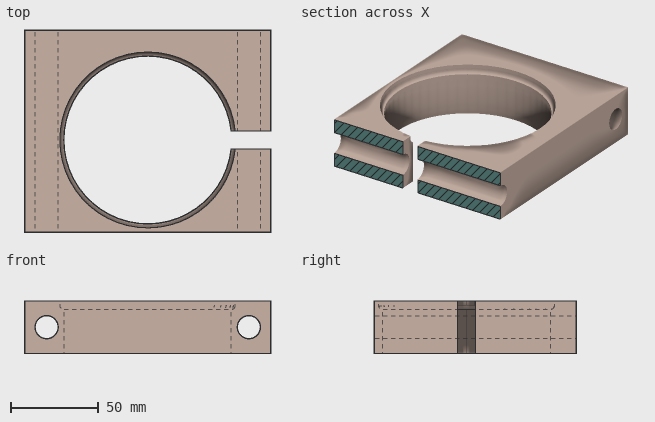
import cadquery as cq

length = 140.0
width = 115.0
height = 30.0
bore_offset = 5.0

bore_diameter = 95.3
seat_diameter = 100.0
seat_step = (seat_diameter - bore_diameter) / 2
seat_wall_height = 2.6
seat_depth = seat_wall_height + seat_step

slit_width = 10.0

cross_hole_diameter = 13.0
cross_hole_spacing = 115.0


def make_block():
    return (
        cq.Workplane("XY")
        .center(0, bore_offset)
        .box(length, width, height, centered=(True, True, False))
    )


def make_bore():
    """Bore and seat revolved as one profile, the seat's corner being a quarter round."""
    bore_radius = bore_diameter / 2
    seat_radius = seat_diameter / 2
    seat_floor = height - seat_depth
    corner_top = height - seat_wall_height
    full_turn = 360
    half_turn = 180
    bore = (
        cq.Workplane("XZ")
        .lineTo(bore_radius, 0)
        .lineTo(bore_radius, seat_floor)
        .radiusArc((seat_radius, corner_top), -seat_step)
        .lineTo(seat_radius, height)
        .lineTo(0, height)
        .close()
        .revolve(full_turn, (0, 0, 0), (0, 1, 0))
    )
    return bore.rotate((0, 0, 0), (0, 0, 1), half_turn)


def make_slit():
    """Slit from the bore axis out through the +X end; the bore takes its inner part."""
    return cq.Workplane("XY").box(length / 2, slit_width, height, centered=(False, True, False))


def make_cross_holes():
    half_spacing = cross_hole_spacing / 2
    return (
        cq.Workplane("XZ", origin=(0, bore_offset, height / 2))
        .pushPoints([(-half_spacing, 0), (half_spacing, 0)])
        .circle(cross_hole_diameter / 2)
        .extrude(width / 2, both=True)
    )


result = make_block().cut(make_bore()).cut(make_slit()).cut(make_cross_holes())